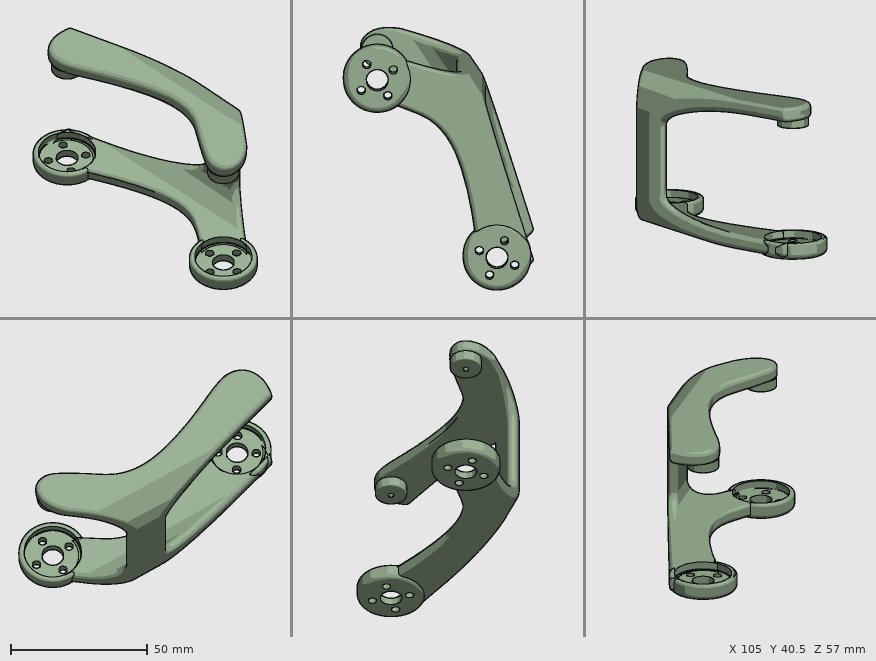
import cadquery as cq
import math

cup_spacing = 80.0
cup_centres = [(0, 0), (cup_spacing, 0)]
cup_hole_turns = [-33.7, 0]
cup_diameter = 25.0
cup_height = 6.0
cup_floor = 3.0
cup_rim_radius = 1.0
cup_base_radius = 2.0
pocket_diameter = 21
pocket_corner_radius = 0.2
floor_seat_diameter = 19.0
centre_hole_diameter = 8.0
screw_hole_diameter = 3.0
screw_circle_radius = 7.0
screw_count = 4

total_height = 57.0
back_y = 28.0
strap_thickness = 5.0
strap_bottom = cup_height - strap_thickness
inner_top = total_height - strap_thickness
inner_back = back_y - strap_thickness
outer_bend_radius = 13.0
inner_bend_radius = 10.0
outer_edge_radius = 1.6
inner_back_edge_radius = 2.0
inner_front_edge_radius = 1.0

left_corner = (-8.6, 10.4)
left_back_corner = (52.6, back_y)
right_back_corner = (60.8, back_y)
right_corner = (81.2, 11.1)
front_curve = [
    (83.3, 8.6),
    (85.5, 4.8),
    (86.3, 1),
    (84.6, -4.2),
    (80.0, -5.9),
    (73.5, -3.4),
    (65.1, 2.2),
    (56.7, 7.5),
    (47.2, 9.2),
    (37.8, 8.0),
    (27.3, 4.7),
    (12.6, -1.6),
    (5.2, -4.8),
    (-0.5, -5.9),
    (-5.6, -4.1),
    (-8.8, 0.6),
    (-9.5, 5.7),
]
front_limit = -12.6

pin_diameter = 11.5
pin_length = 4.0
pin_edge_radius = 0.5
tip_diameter = 2.0

tolerance = 0.01


def c_profile():
    """C-shaped strap section in the YZ plane, open toward -Y."""
    diagonal = 1 - math.sqrt(0.5)
    ro, ri = outer_bend_radius, inner_bend_radius
    return (
        cq.Workplane("YZ")
        .moveTo(front_limit, strap_bottom)
        .lineTo(back_y - ro, strap_bottom)
        .threePointArc((back_y - ro * diagonal, strap_bottom + ro * diagonal), (back_y, strap_bottom + ro))
        .lineTo(back_y, total_height - ro)
        .threePointArc((back_y - ro * diagonal, total_height - ro * diagonal), (back_y - ro, total_height))
        .lineTo(front_limit, total_height)
        .lineTo(front_limit, inner_top)
        .lineTo(inner_back - ri, inner_top)
        .threePointArc((inner_back - ri * diagonal, inner_top - ri * diagonal), (inner_back, inner_top - ri))
        .lineTo(inner_back, cup_height + ri)
        .threePointArc((inner_back - ri * diagonal, cup_height + ri * diagonal), (inner_back - ri, cup_height))
        .lineTo(front_limit, cup_height)
        .close()
    )


def arm_outline():
    """Plan shape of the arms: straight slanted back walls and a curved front."""
    return (
        cq.Workplane("XY")
        .moveTo(*left_corner)
        .lineTo(*left_back_corner)
        .lineTo(*right_back_corner)
        .lineTo(*right_corner)
        .spline(front_curve + [left_corner], includeCurrent=True)
        .close()
    )


def rises(edge):
    """True for an upright edge."""
    return abs(edge.tangentAt(0.5).z) > 1 - tolerance


def runs_along_x(edge):
    """True for a straight edge that crosses the strap along X."""
    return edge.geomType() == "LINE" and abs(edge.tangentAt(0.5).x) > 0.999


def is_front_edge(edge):
    """True for the long curved edges along the front of the arms."""
    return edge.geomType() == "BSPLINE" and edge.Length() > cup_spacing


def is_inner_edge(edge):
    """True for edges that border the opening of the C."""
    middle = edge.positionAt(0.5)
    in_height = cup_height - tolerance < middle.z < inner_top + tolerance
    return in_height and middle.y < inner_back + tolerance


def is_outer_edge(edge):
    """True for edges on the outside of the C: its flat top, bottom, back and the two outer bends."""
    middle = edge.positionAt(0.5)
    on_bottom = middle.z < strap_bottom + tolerance
    on_top = middle.z > total_height - tolerance
    on_back = middle.y > back_y - tolerance
    return on_bottom or on_top or on_back or edge.geomType() == "ELLIPSE"


def is_arm_end_edge(edge):
    """True for the upright corner edges at the ends of the arms."""
    return rises(edge) and edge.positionAt(0.5).y < inner_back - inner_bend_radius


def is_inner_back_edge(edge):
    """True for the inner edges of the slanted back walls."""
    is_other = is_front_edge(edge) or runs_along_x(edge) or is_arm_end_edge(edge)
    return is_inner_edge(edge) and not is_other


def fillet_edges(body, radius, is_wanted):
    return body.fillet(radius, [edge for edge in body.Edges() if is_wanted(edge)])


def disc(centre, bottom, diameter, height):
    return cq.Workplane("XY", origin=(*centre, bottom)).circle(diameter / 2).extrude(height)


def make_bracket():
    """Bent strap with rounded edges; its lower arm ends at the cup pockets."""
    strap = c_profile().extrude(cup_spacing + 2 * cup_diameter).translate((-cup_diameter, 0, 0))
    body = strap.intersect(arm_outline().extrude(total_height)).val()
    body = fillet_edges(body, inner_back_edge_radius, is_inner_back_edge)
    body = fillet_edges(body, inner_front_edge_radius, lambda e: is_inner_edge(e) and is_front_edge(e))
    body = fillet_edges(body, outer_edge_radius, lambda e: is_outer_edge(e) and not runs_along_x(e))

    bracket = cq.Workplane(body)
    for centre in cup_centres:
        bracket = bracket.cut(disc(centre, cup_floor, pocket_diameter, cup_height - cup_floor))
        bracket = bracket.cut(disc(centre, 0, floor_seat_diameter, cup_floor))
    return bracket


def make_cup(centre, hole_turn):
    """Tray with a centre hole and a ring of screw holes."""
    outside = disc(centre, 0, cup_diameter, cup_height)
    outside = outside.faces("<Z").edges().fillet(cup_base_radius)
    outside = outside.faces(">Z").edges().fillet(cup_rim_radius)
    pocket = disc(centre, cup_floor, pocket_diameter, cup_height - cup_floor)
    pocket = pocket.faces("<Z").edges().fillet(pocket_corner_radius)
    centre_hole = disc(centre, 0, centre_hole_diameter, cup_height)
    screw_holes = (
        cq.Workplane("XY", origin=(*centre, 0))
        .polarArray(screw_circle_radius, hole_turn, 360, screw_count)
        .circle(screw_hole_diameter / 2)
        .extrude(cup_height)
    )
    return outside.cut(pocket).cut(centre_hole).cut(screw_holes)


def make_pin(centre):
    """Peg with a rounded lower rim and a half-ball tip."""
    bottom = inner_top - pin_length
    peg = disc(centre, bottom, pin_diameter, pin_length).faces("<Z").edges().fillet(pin_edge_radius)
    tip = cq.Workplane("XY", origin=(*centre, bottom)).sphere(tip_diameter / 2)
    return peg.union(tip)


bracket = make_bracket()
cups = [make_cup(centre, turn).cut(bracket) for centre, turn in zip(cup_centres, cup_hole_turns)]
pins = [make_pin(centre) for centre in cup_centres]

result = cq.Compound.makeCompound(
    [bracket.val(), *[cup.val() for cup in cups], *[pin.val() for pin in pins]]
)